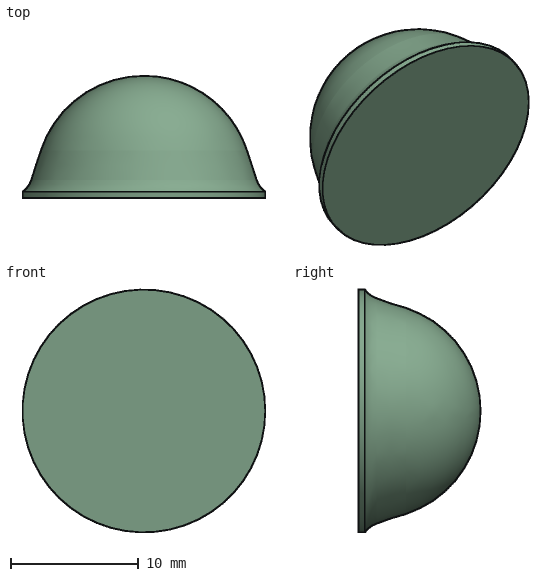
import cadquery as cq
import math

rim_radius = 9.52
total_height = 9.6
rim_thickness = 0.51
flare_top = 1.43
cone_top = 3.73
dome_radius = 8.52

dome_center = total_height - dome_radius
join_rise = cone_top - dome_center
cone_top_radius = math.sqrt(dome_radius**2 - join_rise**2)
cone_slope = join_rise / cone_top_radius
cone_base_radius = cone_top_radius + cone_slope * (cone_top - flare_top)

dome_mid_angle = (math.asin(join_rise / dome_radius) + math.pi / 2) / 2
dome_mid = (
    dome_radius * math.cos(dome_mid_angle),
    dome_center + dome_radius * math.sin(dome_mid_angle),
)

half_profile = (
    cq.Workplane("XY")
    .lineTo(0, total_height)
    .threePointArc(dome_mid, (cone_top_radius, cone_top))
    .lineTo(cone_base_radius, flare_top)
    .tangentArcPoint((rim_radius, rim_thickness), relative=False)
    .lineTo(rim_radius, 0)
    .close()
)

result = half_profile.revolve(360, (0, 0, 0), (0, 1, 0))